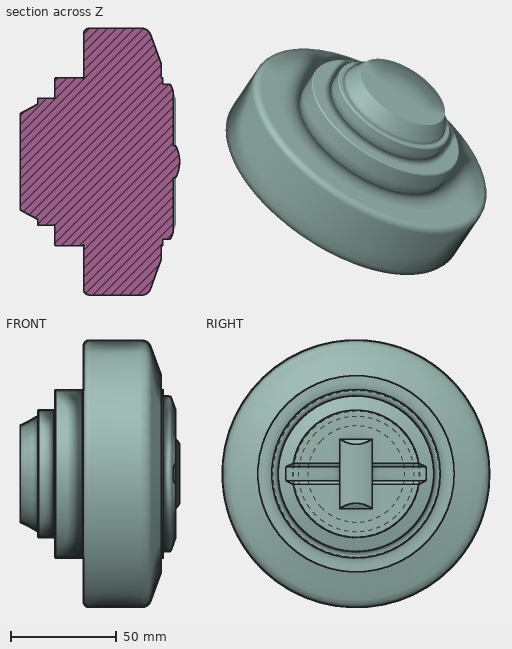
import cadquery as cq
import math

overall_length = 75.7
tip_x = -overall_length / 2
collar_x = tip_x + 8.2
hub_x = tip_x + 16.4
wheel_back_x = tip_x + 29.9
wheel_front_x = tip_x + 67.0
hub_front_x = wheel_front_x + 0.8
cap_face_x = tip_x + 73.8
bar_top_x = overall_length / 2

tip_radius = 23.0
tip_base_radius = 27.4
collar_radius = 30.3
hub_radius = 40.0
wheel_radius = 63.4
wheel_front_radius = 46.5
cap_radius = 36.9
cap_face_radius = 30.2

edge_chamfer = 0.5
back_round = 3.0
front_round = 5.0
cap_round = 1.3
front_taper = math.radians(20)

bar_half_width = 7.6
bar_half_length = 16.5
bar_end_chamfer = 2.5
groove_half_width = 5.0
groove_floor_half_width = 3.3
groove_depth = 1.1


def disc(start_x, end_x, radius):
    """Solid cylinder about the X axis."""
    return cq.Workplane("YZ", origin=(start_x, 0, 0)).circle(radius).extrude(end_x - start_x)


def tapered_disc(start_x, end_x, radius, front_x, front_radius):
    """Disc whose front narrows from end_x to a smaller flat face."""
    outline = [(start_x, 0), (start_x, radius), (end_x, radius), (front_x, front_radius), (front_x, 0)]
    return cq.Workplane("XY").polyline(outline).close().revolve(360, (0, 0, 0), (1, 0, 0))


def taper_start(front_x, front_radius, radius, taper):
    """Station where a taper, leaning from the face plane, meets the outer radius."""
    return front_x - (radius - front_radius) * math.tan(taper)


def make_disc_with_taper(start_x, radius, front_x, front_radius, taper, rounding):
    """Tapered disc with a rounded corner between its rim and its taper."""
    corner_x = taper_start(front_x, front_radius, radius, taper)
    body = tapered_disc(start_x, corner_x, radius, front_x, front_radius)
    margin = rounding / 10
    rim_corner = cq.selectors.BoxSelector(
        (corner_x - margin, -2 * radius, -2 * radius), (corner_x + margin, 2 * radius, 2 * radius), True
    )
    return body.edges(rim_corner).fillet(rounding)


def make_bar():
    """Raised bar along Z with an arched top and chamfered ends."""
    root_x = cap_face_x - groove_depth
    profile = (
        cq.Workplane("XY", origin=(0, 0, -bar_half_length))
        .moveTo(root_x, -bar_half_width)
        .lineTo(cap_face_x, -bar_half_width)
        .threePointArc((bar_top_x, 0), (cap_face_x, bar_half_width))
        .lineTo(root_x, bar_half_width)
        .close()
        .extrude(2 * bar_half_length)
    )
    side = (
        cq.Workplane("XZ", origin=(0, bar_half_width, 0))
        .polyline([
            (root_x, -bar_half_length),
            (cap_face_x, -bar_half_length),
            (bar_top_x, -bar_half_length + bar_end_chamfer),
            (bar_top_x, bar_half_length - bar_end_chamfer),
            (cap_face_x, bar_half_length),
            (root_x, bar_half_length),
        ])
        .close()
        .extrude(2 * bar_half_width)
    )
    return profile.intersect(side)


def make_groove():
    """Shallow groove along Y with sloping flanks."""
    floor_x = cap_face_x - groove_depth
    return (
        cq.Workplane("XZ")
        .polyline([
            (cap_face_x, -groove_half_width),
            (floor_x, -groove_floor_half_width),
            (floor_x, groove_floor_half_width),
            (cap_face_x, groove_half_width),
        ])
        .close()
        .extrude(cap_radius, both=True)
    )


tip = cq.Workplane("XY").polyline(
    [(tip_x, 0), (tip_x, tip_radius), (collar_x, tip_base_radius), (collar_x, 0)]
).close().revolve(360, (0, 0, 0), (1, 0, 0))
collar = disc(collar_x, hub_x, collar_radius).edges().chamfer(edge_chamfer)
hub = disc(hub_x, wheel_back_x, hub_radius).edges().chamfer(edge_chamfer)
wheel = make_disc_with_taper(
    wheel_back_x, wheel_radius, wheel_front_x, wheel_front_radius, front_taper, front_round
).faces("<X").edges().fillet(back_round)
hub_front = disc(wheel_front_x, hub_front_x, hub_radius)
cap = make_disc_with_taper(
    hub_front_x, cap_radius, cap_face_x, cap_face_radius, front_taper, cap_round
).cut(make_groove())

result = tip.union(collar).union(hub).union(wheel).union(hub_front).union(cap).union(make_bar())